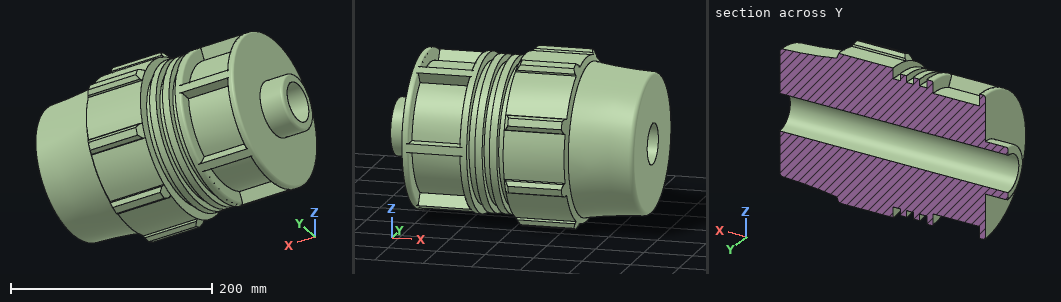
import cadquery as cq
import math

total_length = 263.0
drum_start = 26.0
groove_start = 33.4
groove_end = 86.0
drum_end = 93.5
first_ring_start = 101.5
ring_width = 7.6
ring_pitch = 15.0
ring_count = 2
nut_start = 132.0
nut_end = 197.5

bore_radius = 41.73 / 2
spigot_radius = 59.61 / 2
drum_radius = 162.9 / 2
groove_floor_radius = 68.0
neck_radius = 144.8 / 2
ring_radius = 159.64 / 2
nut_radius = 84.4
sleeve_start_radius = 78.3
sleeve_middle_radius = 74.2
sleeve_end_radius = 72.2

spigot_fillet = 2.5
drum_fillet = 2.5
groove_near_fillet = 2.0
groove_far_fillet = 2.5
sleeve_fillet = 4.5

rib_count = 6
rib_width = 9.0

ridge_count = 8
ridge_top_radius = 90.5
ridge_top_width = 8.06
ridge_shoulder_radius = 86.3
ridge_base_width = 15.2
ridge_front_ramp_length = 4.8
ridge_back_ramp_length = 2.7
ridge_root_radius = 80.0

back_cone_slope = (ridge_top_radius - nut_radius) / ridge_back_ramp_length
nut_edge = nut_end - (nut_radius - sleeve_start_radius) / back_cone_slope

ARC_SAG = 1 - math.sqrt(0.5)


def revolve(profile):
    """Spin a profile drawn as (X, radius) about the X axis."""
    return profile.close().revolve(360, (0, 0, 0), (1, 0, 0))


def cylinder(start, end, radius):
    """Solid cylinder along X."""
    return cq.Workplane("YZ", origin=(start, 0, 0)).circle(radius).extrude(end - start)


def make_spigot():
    spigot = cylinder(0, groove_start, spigot_radius)
    return spigot.faces("<X").edges().fillet(spigot_fillet)


def make_drum():
    drum = cylinder(drum_start, drum_end, drum_radius)
    drum = drum.faces("<X").edges().fillet(drum_fillet)
    return drum.cut(make_groove_pockets())


def make_groove_pockets():
    """Ring-shaped void with a rounded mouth, interrupted by the ribs."""
    near, far = groove_near_fillet, groove_far_fillet
    clear_radius = drum_radius + drum_fillet
    pockets = revolve(
        cq.Workplane("XY")
        .moveTo(groove_start, groove_floor_radius)
        .lineTo(groove_start, drum_radius - near)
        .threePointArc(
            (groove_start - ARC_SAG * near, drum_radius - ARC_SAG * near),
            (groove_start - near, drum_radius),
        )
        .lineTo(groove_start - near, clear_radius)
        .lineTo(groove_end + far, clear_radius)
        .lineTo(groove_end + far, drum_radius)
        .threePointArc(
            (groove_end + ARC_SAG * far, drum_radius - ARC_SAG * far),
            (groove_end, drum_radius - far),
        )
        .lineTo(groove_end, groove_floor_radius)
    )
    slab = cq.Workplane("XY").box(
        drum_end - drum_start, 2 * clear_radius, rib_width
    ).translate(((drum_start + drum_end) / 2, 0, 0))
    for index in range(rib_count // 2):
        pockets = pockets.cut(slab.rotate((0, 0, 0), (1, 0, 0), index * 360 / rib_count))
    return pockets


def make_ringed_neck():
    neck = cylinder(groove_end, nut_edge, neck_radius)
    for index in range(ring_count):
        start = first_ring_start + index * ring_pitch
        neck = neck.union(cylinder(start, start + ring_width, ring_radius))
    return neck


def make_sleeve():
    """Hollow-sided sleeve with a rounded end, starting inside the nut."""
    sleeve_end = total_length - sleeve_fillet
    return revolve(
        cq.Workplane("XY")
        .moveTo(nut_edge, 0)
        .lineTo(nut_edge, sleeve_start_radius)
        .lineTo(nut_end, sleeve_start_radius)
        .threePointArc(
            ((nut_end + sleeve_end) / 2, sleeve_middle_radius),
            (sleeve_end, sleeve_end_radius),
        )
        .threePointArc(
            (total_length - ARC_SAG * sleeve_fillet, sleeve_end_radius - ARC_SAG * sleeve_fillet),
            (total_length, sleeve_end_radius - sleeve_fillet),
        )
        .lineTo(total_length, 0)
    )


def make_ridge_bar():
    """Straight bar with a chamfered top, standing on the +Z side of the nut."""
    half_base = ridge_base_width / 2
    half_top = ridge_top_width / 2
    return (
        cq.Workplane("YZ", origin=(nut_start, 0, 0))
        .moveTo(-half_base, ridge_root_radius)
        .lineTo(-half_base, ridge_shoulder_radius)
        .lineTo(-half_top, ridge_top_radius)
        .lineTo(half_top, ridge_top_radius)
        .lineTo(half_base, ridge_shoulder_radius)
        .lineTo(half_base, ridge_root_radius)
        .close()
        .extrude(nut_end - nut_start)
    )


def make_nut():
    """Ridged cylinder, its ends trimmed by a cone at the front and another at the back."""
    nut = cylinder(nut_start, nut_end, nut_radius)
    bar = make_ridge_bar()
    pitch = 360 / ridge_count
    for index in range(ridge_count):
        nut = nut.union(bar.rotate((0, 0, 0), (1, 0, 0), (index + 0.5) * pitch))

    clear_radius = nut_radius + 2 * (ridge_top_radius - nut_radius)
    envelope = revolve(
        cq.Workplane("XY")
        .moveTo(nut_start, 0)
        .lineTo(nut_start, nut_radius)
        .lineTo(nut_start + 2 * ridge_front_ramp_length, clear_radius)
        .lineTo(nut_edge - 2 * ridge_back_ramp_length, clear_radius)
        .lineTo(nut_end, sleeve_start_radius)
        .lineTo(nut_end, 0)
    )
    return nut.intersect(envelope)


body = make_spigot().union(make_drum()).union(make_ringed_neck()).union(make_nut()).union(make_sleeve())
result = body.cut(cylinder(0, total_length, bore_radius)).clean()